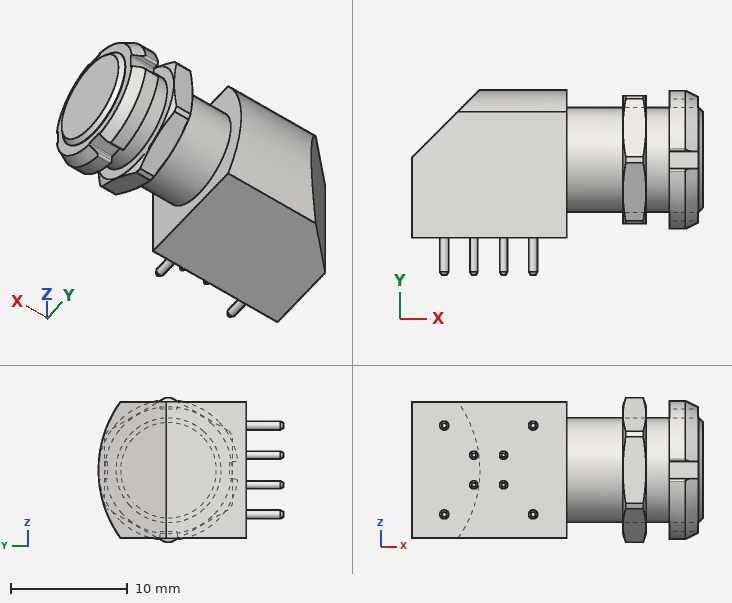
import cadquery as cq
import math


TOTAL_LENGTH = 25.0

BLOCK_LENGTH = 13.3
BLOCK_HEIGHT = 11.7
BLOCK_FRONT_Y = -6.7
BLOCK_BACK_Y = 6.0
BLOCK_BACK_RADIUS = 10.0
BLOCK_BEVEL = 5.82

BARREL_RADIUS = 4.5
BARREL_CHAMFER = 0.4

PIN_LENGTH = 3.2
PIN_CENTER_X = 6.6
OUTER_PIN_SPACING = 7.62
OUTER_PIN_DIAMETER = 0.78
INNER_PIN_SPACING = 2.55
INNER_PIN_DIAMETER = 0.7
PIN_TIP_LENGTH = 0.3
PIN_TIP_INSET = 0.18

NUT_START_X = 18.1
NUT_THICKNESS = 2.0
NUT_ACROSS_FLATS = 11.0
NUT_ACROSS_CORNERS = 12.4
NUT_FACE_RADIUS = 5.45
NUT_CHAMFER_LENGTH = 0.25

RING_START_X = 22.1
RING_THICKNESS = 2.45
RING_RADIUS = 6.0
RING_CHAMFER_LENGTH = 1.1
RING_CHAMFER_DROP = 0.55
SLOT_COUNT = 4
SLOT_WIDTH = 1.5
SLOT_FLOOR_RADIUS = 5.25
SLOT_FLOOR_FILLET = 0.1
SLOT_EDGE_FILLET = 0.2


def solid_of_revolution(profile):
    """Turn a closed (x, radius) profile about the socket axis."""
    return cq.Workplane("XY").polyline(profile).close().revolve(360, (0, 0), (1, 0))


def make_block():
    """Block with a cylindrical back and one large bevel on its back left edge."""
    half_height = BLOCK_HEIGHT / 2
    arc_sagitta = BLOCK_BACK_RADIUS - math.sqrt(BLOCK_BACK_RADIUS**2 - half_height**2)
    arc_end_y = BLOCK_BACK_Y - arc_sagitta
    block = (
        cq.Workplane("YZ")
        .moveTo(BLOCK_FRONT_Y, -half_height)
        .lineTo(arc_end_y, -half_height)
        .threePointArc((BLOCK_BACK_Y, 0), (arc_end_y, half_height))
        .lineTo(BLOCK_FRONT_Y, half_height)
        .close()
        .extrude(BLOCK_LENGTH)
    )
    bevel = (
        cq.Workplane("XY")
        .polyline([(0, BLOCK_BACK_Y - BLOCK_BEVEL), (0, BLOCK_BACK_Y), (BLOCK_BEVEL, BLOCK_BACK_Y)])
        .close()
        .extrude(half_height, both=True)
    )
    return block.cut(bevel)


def make_barrel():
    """Round barrel from the block to the mating end, with a chamfered rim."""
    return (
        cq.Workplane("YZ", origin=(BLOCK_LENGTH, 0, 0))
        .circle(BARREL_RADIUS)
        .extrude(TOTAL_LENGTH - BLOCK_LENGTH)
        .faces(">X")
        .chamfer(BARREL_CHAMFER)
    )


def make_pin(x, z, diameter):
    """Round pin with a tapered tip, standing on the front of the block."""
    radius = diameter / 2
    tip_radius = radius - PIN_TIP_INSET
    shank_end = BLOCK_FRONT_Y - PIN_LENGTH + PIN_TIP_LENGTH
    profile = [
        (0, BLOCK_FRONT_Y),
        (radius, BLOCK_FRONT_Y),
        (radius, shank_end),
        (tip_radius, shank_end - PIN_TIP_LENGTH),
        (0, shank_end - PIN_TIP_LENGTH),
    ]
    pin = cq.Workplane("XY").polyline(profile).close().revolve(360, (0, 0), (0, 1))
    return pin.translate((x, 0, z))


def make_housing():
    """Block, barrel and pins as one body."""
    housing = make_block().union(make_barrel())
    pin_squares = [
        (OUTER_PIN_SPACING, OUTER_PIN_DIAMETER),
        (INNER_PIN_SPACING, INNER_PIN_DIAMETER),
    ]
    for spacing, diameter in pin_squares:
        for x_side in (-1, 1):
            for z_side in (-1, 1):
                pin_x = PIN_CENTER_X + x_side * spacing / 2
                pin_z = z_side * spacing / 2
                housing = housing.union(make_pin(pin_x, pin_z, diameter))
    return housing


def make_nut():
    """Hex nut with corners up and down, turned to a barrel shape with two face chamfers."""
    end_x = NUT_START_X + NUT_THICKNESS
    corner_radius = NUT_ACROSS_CORNERS / 2
    hex_diameter = NUT_ACROSS_FLATS / math.cos(math.pi / 6)
    hexagon = (
        cq.Workplane("YZ", origin=(NUT_START_X, 0, 0))
        .transformed(rotate=(0, 0, 90))
        .polygon(6, hex_diameter)
        .circle(BARREL_RADIUS)
        .extrude(NUT_THICKNESS)
    )
    turned_envelope = solid_of_revolution([
        (NUT_START_X, 0),
        (NUT_START_X, NUT_FACE_RADIUS),
        (NUT_START_X + NUT_CHAMFER_LENGTH, corner_radius),
        (end_x - NUT_CHAMFER_LENGTH, corner_radius),
        (end_x, NUT_FACE_RADIUS),
        (end_x, 0),
    ])
    return hexagon.intersect(turned_envelope)


def make_slot_cutter():
    """Cutter for the top slot: rounded floor corners and outward-rounded mouth edges."""
    half_width = SLOT_WIDTH / 2
    fillet_center_y = half_width + SLOT_EDGE_FILLET
    center_distance = RING_RADIUS - SLOT_EDGE_FILLET
    fillet_center_z = math.sqrt(center_distance**2 - fillet_center_y**2)
    center_angle = math.atan2(fillet_center_z, fillet_center_y)
    mouth_y = RING_RADIUS * math.cos(center_angle)
    mouth_z = RING_RADIUS * math.sin(center_angle)
    middle_angle = (math.pi + center_angle) / 2
    arc_middle_y = fillet_center_y + SLOT_EDGE_FILLET * math.cos(middle_angle)
    arc_middle_z = fillet_center_z + SLOT_EDGE_FILLET * math.sin(middle_angle)
    clear_z = RING_RADIUS + SLOT_EDGE_FILLET
    cutter = (
        cq.Workplane("YZ", origin=(RING_START_X, 0, 0))
        .moveTo(-half_width, SLOT_FLOOR_RADIUS)
        .lineTo(half_width, SLOT_FLOOR_RADIUS)
        .lineTo(half_width, fillet_center_z)
        .threePointArc((arc_middle_y, arc_middle_z), (mouth_y, mouth_z))
        .lineTo(mouth_y, clear_z)
        .lineTo(-mouth_y, clear_z)
        .lineTo(-mouth_y, mouth_z)
        .threePointArc((-arc_middle_y, arc_middle_z), (-half_width, fillet_center_z))
        .close()
        .extrude(RING_THICKNESS)
    )
    return cutter.edges("|X and <Z").fillet(SLOT_FLOOR_FILLET)


def make_ring():
    """Round ring with a sloped front edge and slots across its rim."""
    end_x = RING_START_X + RING_THICKNESS
    ring = solid_of_revolution([
        (RING_START_X, BARREL_RADIUS),
        (RING_START_X, RING_RADIUS),
        (end_x - RING_CHAMFER_LENGTH, RING_RADIUS),
        (end_x, RING_RADIUS - RING_CHAMFER_DROP),
        (end_x, BARREL_RADIUS),
    ])
    slot_cutter = make_slot_cutter()
    for index in range(SLOT_COUNT):
        ring = ring.cut(slot_cutter.rotate((0, 0, 0), (1, 0, 0), index * 360 / SLOT_COUNT))
    return ring


housing = make_housing()
nut = make_nut()
ring = make_ring()

result = cq.Compound.makeCompound([housing.val(), nut.val(), ring.val()])